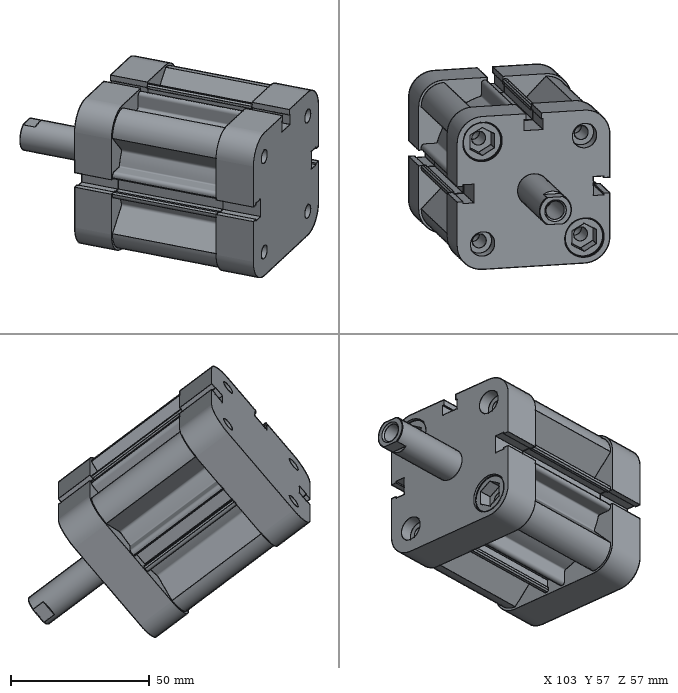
import cadquery as cq
import math

TOTAL_LENGTH = 103.0
CAP_SIDE = 57.0
ROD_LENGTH = 32.0
FRONT_CAP_LENGTH = 14.6
REAR_CAP_LENGTH = 14.8
BARREL_LENGTH = TOTAL_LENGTH - ROD_LENGTH - FRONT_CAP_LENGTH - REAR_CAP_LENGTH
FRONT_CAP_X = ROD_LENGTH
BARREL_X = FRONT_CAP_X + FRONT_CAP_LENGTH
REAR_CAP_X = BARREL_X + BARREL_LENGTH
HALF_SIDE = CAP_SIDE / 2

CORNER_RADIUS = 9.5
BOLT_OFFSET = HALF_SIDE - CORNER_RADIUS
BOLT_HOLE_RADIUS = 2.6
COUNTERBORE_RADIUS = 4.5
COUNTERBORE_DEPTH = 4.7
HEX_ACROSS_FLATS = 9.1
HEX_DEPTH = 5.8
RECESS_RADIUS = 7.3
RECESS_DEPTH = 0.6
RING_INNER_RADIUS = 7.0
RING_DEPTH = 1.0
PLAIN_CORNERS = [(-1, 1), (1, -1)]
SOCKET_CORNERS = [(1, 1), (-1, -1)]

ALL_TURNS = (0, 1, 2, 3)
CAP_SLOT_TURNS = (0, 1, 3)
CAP_SLOT_MOUTH_HALF = 2.9
CAP_SLOT_HALF = 3.5
CAP_SLOT_FLOOR = 22.2
CAP_LIP_BOTTOM = 26.3
BARREL_SLOT_MOUTH_HALF = 2.7
BARREL_SLOT_HALF = 3.3
BARREL_SLOT_FLOOR = 22.6
BARREL_LIP_BOTTOM = 26.0
LIP_CHAMFER = 0.6

TUBE_RADIUS = 22.2
LOBE_RADIUS = 8.5
RAIL_HALF_WIDTH = 5.2
RAIL_TOP = BOLT_OFFSET + LOBE_RADIUS
RAIL_EDGE_RADIUS = 1.3
RAIL_BASE_FILLET = 0.6
VALLEY_FILLET = 1.0

ROD_RADIUS = 6.0
ROD_TIP_CHAMFER = 0.2
FLAT_HALF_WIDTH = 5.0
FLAT_LENGTH = 4.8
FLAT_RUNOUT = 0.4
ROD_BORE_RADIUS = 3.4
ROD_BORE_DEPTH = 18.5
ROD_BORE_CHAMFER = 0.6
DRILL_POINT_ANGLE = 118.0


def section_plane(x):
    """YZ plane at X = x: local x is +Y, local y is +Z, extrusion is +X."""
    return cq.Workplane("YZ", origin=(x, 0, 0))


def around_axis(shape, turns=ALL_TURNS):
    """Copies of a shape, turned about the X axis by the given numbers of quarter turns."""
    return [shape.rotate((0, 0, 0), (1, 0, 0), 90 * turn) for turn in turns]


def bolt_points(corners):
    return [(y * BOLT_OFFSET, z * BOLT_OFFSET) for y, z in corners]


def centred_block(x, length, half_width, bottom, top):
    """Block centred on Y = 0 between two heights."""
    height = top - bottom
    return section_plane(x).center(0, bottom + height / 2).rect(2 * half_width, height).extrude(length)


def t_slot(x, length, mouth_half, slot_half, floor, lip_bottom):
    """Cutter for a T-slot that opens at the +Z side."""
    mouth = centred_block(x, length, mouth_half, floor, HALF_SIDE)
    undercut = centred_block(x, length, slot_half, floor, lip_bottom)
    return mouth.union(undercut)


def make_cap(x, length):
    """Square cap with rounded corners, T-slots on every side but -Z, and four bolt holes."""
    cap = section_plane(x).rect(CAP_SIDE, CAP_SIDE).extrude(length).edges("|X").fillet(CORNER_RADIUS)
    slot = t_slot(x, length, CAP_SLOT_MOUTH_HALF, CAP_SLOT_HALF, CAP_SLOT_FLOOR, CAP_LIP_BOTTOM)
    for cutter in around_axis(slot, CAP_SLOT_TURNS):
        cap = cap.cut(cutter)
    holes = section_plane(x).pushPoints(bolt_points(PLAIN_CORNERS + SOCKET_CORNERS))
    return cap.cut(holes.circle(BOLT_HOLE_RADIUS).extrude(length))


def make_front_cap():
    cap = make_cap(FRONT_CAP_X, FRONT_CAP_LENGTH)
    face = section_plane(FRONT_CAP_X)
    sockets = bolt_points(SOCKET_CORNERS)
    plain_holes = face.pushPoints(bolt_points(PLAIN_CORNERS))
    counterbores = plain_holes.circle(COUNTERBORE_RADIUS).extrude(COUNTERBORE_DEPTH)
    hex_diameter = HEX_ACROSS_FLATS / math.cos(math.pi / 6)
    turned_face = face.transformed(rotate=(0, 0, 90))
    turned_sockets = [(z, -y) for y, z in sockets]
    hexes = turned_face.pushPoints(turned_sockets).polygon(6, hex_diameter).extrude(HEX_DEPTH)
    recesses = face.pushPoints(sockets).circle(RECESS_RADIUS).extrude(RECESS_DEPTH)
    rings = face.pushPoints(sockets).circle(RECESS_RADIUS).circle(RING_INNER_RADIUS).extrude(RING_DEPTH)
    return cap.cut(counterbores).cut(hexes).cut(recesses).cut(rings)


def make_rear_cap():
    return make_cap(REAR_CAP_X, REAR_CAP_LENGTH)


def corner_arm():
    """Diagonal web from the axis out to the rounded barrel corner around one bolt hole."""
    corner = BOLT_OFFSET + LOBE_RADIUS
    arc_middle = BOLT_OFFSET + LOBE_RADIUS / math.sqrt(2)
    return (
        section_plane(BARREL_X)
        .moveTo(0, LOBE_RADIUS)
        .lineTo(BOLT_OFFSET, corner)
        .threePointArc((arc_middle, arc_middle), (corner, BOLT_OFFSET))
        .lineTo(LOBE_RADIUS, 0)
        .close()
        .extrude(BARREL_LENGTH)
    )


def slot_rail():
    """Raised rail with rounded outer edges that holds one T-slot."""
    rail = centred_block(BARREL_X, BARREL_LENGTH, RAIL_HALF_WIDTH, 0, RAIL_TOP)
    return rail.edges("|X and >Z").fillet(RAIL_EDGE_RADIUS)


def edges_at(body, points):
    """Edges along X that pass through the given (Y, Z) points of the barrel section."""
    middle_x = BARREL_X + BARREL_LENGTH / 2
    tolerance = 0.01
    targets = [cq.Vector(middle_x, y, z) for y, z in points]
    return body.edges("|X").filter(
        lambda edge: any((edge.Center() - target).Length < tolerance for target in targets)
    )


def mirrored_corners(a, b):
    """The eight (Y, Z) points with coordinates +-a and +-b in either order."""
    return [(sy * p, sz * q) for p, q in ((a, b), (b, a)) for sy in (-1, 1) for sz in (-1, 1)]


def make_barrel():
    barrel = section_plane(BARREL_X).circle(TUBE_RADIUS).extrude(BARREL_LENGTH)
    for arm in around_axis(corner_arm()):
        barrel = barrel.union(arm)
    for rail in around_axis(slot_rail()):
        barrel = barrel.union(rail)

    valley_angle = math.pi / 4 - math.asin(LOBE_RADIUS / math.sqrt(2) / TUBE_RADIUS)
    valley_y = TUBE_RADIUS * math.sin(valley_angle)
    valley_z = TUBE_RADIUS * math.cos(valley_angle)
    barrel = edges_at(barrel, mirrored_corners(valley_y, valley_z)).fillet(VALLEY_FILLET)
    rail_base_z = math.sqrt(TUBE_RADIUS**2 - RAIL_HALF_WIDTH**2)
    barrel = edges_at(barrel, mirrored_corners(RAIL_HALF_WIDTH, rail_base_z)).fillet(RAIL_BASE_FILLET)

    slot = t_slot(
        BARREL_X,
        BARREL_LENGTH,
        BARREL_SLOT_MOUTH_HALF,
        BARREL_SLOT_HALF,
        BARREL_SLOT_FLOOR,
        BARREL_LIP_BOTTOM,
    )
    for cutter in around_axis(slot):
        barrel = barrel.cut(cutter)
    barrel = edges_at(barrel, mirrored_corners(BARREL_SLOT_MOUTH_HALF, RAIL_TOP)).chamfer(LIP_CHAMFER)

    holes = section_plane(BARREL_X).pushPoints(bolt_points(PLAIN_CORNERS + SOCKET_CORNERS))
    return barrel.cut(holes.circle(BOLT_HOLE_RADIUS).extrude(BARREL_LENGTH))


def wrench_flat():
    """Cutter for the flat on the +Z side of the rod tip, with a sloped end."""
    return (
        cq.Workplane("XZ")
        .moveTo(0, FLAT_HALF_WIDTH)
        .lineTo(FLAT_LENGTH, FLAT_HALF_WIDTH)
        .lineTo(FLAT_LENGTH + FLAT_RUNOUT, ROD_RADIUS)
        .lineTo(0, ROD_RADIUS)
        .close()
        .extrude(ROD_RADIUS, both=True)
    )


def rod_bore():
    """Cutter for the chamfered blind hole with a conical end in the rod tip."""
    cone_depth = ROD_BORE_RADIUS / math.tan(math.radians(DRILL_POINT_ANGLE / 2))
    return (
        cq.Workplane("XY")
        .moveTo(0, 0)
        .lineTo(0, ROD_BORE_RADIUS + ROD_BORE_CHAMFER)
        .lineTo(ROD_BORE_CHAMFER, ROD_BORE_RADIUS)
        .lineTo(ROD_BORE_DEPTH, ROD_BORE_RADIUS)
        .lineTo(ROD_BORE_DEPTH + cone_depth, 0)
        .close()
        .revolve(360, (0, 0, 0), (1, 0, 0))
    )


def make_rod():
    rod = section_plane(0).circle(ROD_RADIUS).extrude(ROD_LENGTH)
    rod = rod.faces("<X").chamfer(ROD_TIP_CHAMFER)
    top_flat = wrench_flat()
    bottom_flat = top_flat.mirror("XY")
    return rod.cut(top_flat).cut(bottom_flat).cut(rod_bore())


front_cap = make_front_cap()
barrel = make_barrel()
rear_cap = make_rear_cap()
rod = make_rod()

result = cq.Compound.makeCompound([front_cap.val(), barrel.val(), rear_cap.val(), rod.val()])